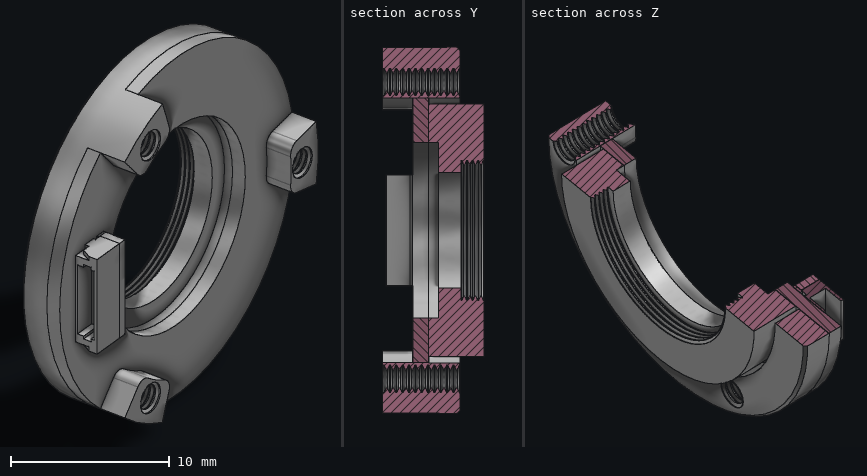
import cadquery as cq
import math

flange_front = 1.5
board_front = 3.5
board_back = 4.5
tab_end = 6.4

outer_dia = 25.0
boss_dia = 18.6
groove_dia = 19.2
groove_depth = 1.98
rim_chamfer = 0.2
bore_dia = 12.0
rear_bore_dia = 14.6
rear_bore_start = 2.88
thread_major_dia = 13.0
thread_length = 1.45
thread_pitch = 0.35

tab_count = 3
tab_angle = 21.4
tab_fillet = 0.8
hole_circle_radius = 10.8
hole_major_dia = 2.1
hole_pitch = 0.4

thread_depth_ratio = 5 / 8 * math.sqrt(3) / 2

connector_length = 7.0
connector_front = -10.8
connector_rear = -8.4
connector_top = 6.18
actuator_rear = -7.8
foot_height = 0.15
foot_rear = -8.9
terminal_front = -8.55
notch_width = 0.3
notch_floor = -9.8
notch_step_y = -10.38
notch_step_height = 0.3
notch_height = 1.05
slot_depth = 1.5
slot_bottom = 4.65
slot_top = 5.92
slot_length = 5.1
key_bottom = 5.12
key_top = 5.7
key_length = 5.5


def disc(diameter, start, end):
    """Cylinder on the X axis between two X positions."""
    return cq.Workplane("YZ").workplane(offset=start).circle(diameter / 2).extrude(end - start)


def box(x_range, y_range, z_range):
    """Axis-aligned block given by its limits."""
    size = [high - low for low, high in (x_range, y_range, z_range)]
    return cq.Workplane("XY").box(*size, centered=False).translate((x_range[0], y_range[0], z_range[0]))


def centred_span(length):
    return (-length / 2, length / 2)


def tapped_hole(major_dia, pitch, start, end):
    """Cutter on the X axis for a 60-degree thread, formed as evenly spaced rings with flat crests."""
    major = major_dia / 2
    minor = major - thread_depth_ratio * pitch
    root_flat = pitch / 8
    crest_flat = pitch / 4
    flank = (pitch - root_flat - crest_flat) / 2
    profile = cq.Workplane("XY").moveTo(start, 0).lineTo(start, major)
    for turn in range(math.floor((end - start) / pitch)):
        root_end = start + turn * pitch + root_flat
        crest_start = root_end + flank
        crest_end = crest_start + crest_flat
        profile = (
            profile.lineTo(root_end, major)
            .lineTo(crest_start, minor)
            .lineTo(crest_end, minor)
            .lineTo(crest_end + flank, major)
        )
    profile = profile.lineTo(end, major).lineTo(end, 0).close()
    return profile.revolve(360, (0, 0, 0), (1, 0, 0))


def on_each_tab(shape):
    """Copies of a shape modelled at +Y, turned to every tab position."""
    return [shape.rotate((0, 0, 0), (1, 0, 0), i * 360 / tab_count) for i in range(tab_count)]


def tab_block():
    """Tab at +Y: a ring sector with radial sides and rounded inner corners."""
    inner = groove_dia / 2
    outer = outer_dia / 2
    half = math.radians(tab_angle / 2)
    inner_y, inner_z = inner * math.cos(half), inner * math.sin(half)
    outer_y, outer_z = outer * math.cos(half), outer * math.sin(half)
    return (
        cq.Workplane("YZ")
        .workplane(offset=board_front)
        .moveTo(inner_y, -inner_z)
        .lineTo(outer_y, -outer_z)
        .threePointArc((outer, 0), (outer_y, outer_z))
        .lineTo(inner_y, inner_z)
        .threePointArc((inner, 0), (inner_y, -inner_z))
        .close()
        .extrude(tab_end - board_front)
        .edges("|X and <Y")
        .fillet(tab_fillet)
    )


def make_housing():
    flange = disc(outer_dia, flange_front, board_front).faces("<X").chamfer(rim_chamfer)
    housing = flange.union(disc(boss_dia, 0, board_front))
    groove = disc(groove_dia, flange_front, flange_front + groove_depth)
    housing = housing.cut(groove.cut(disc(boss_dia, flange_front, flange_front + groove_depth)))
    for tab in on_each_tab(tab_block()):
        housing = housing.union(tab)
    housing = housing.cut(disc(bore_dia, 0, board_front))
    housing = housing.cut(disc(rear_bore_dia, rear_bore_start, board_front))
    housing = housing.cut(tapped_hole(thread_major_dia, thread_pitch, 0, thread_length))
    hole = tapped_hole(hole_major_dia, hole_pitch, flange_front, tab_end)
    for cutter in on_each_tab(hole.translate((0, hole_circle_radius, 0))):
        housing = housing.cut(cutter)
    return housing


def make_board():
    """Circuit board ring, notched around the tabs of the housing."""
    board = disc(outer_dia, board_front, board_back).cut(disc(rear_bore_dia, board_front, board_back))
    for tab in on_each_tab(tab_block()):
        board = board.cut(tab)
    return board


def corner_notch():
    """Cutter for the stepped notch under one end of the connector front, centred on Z = 0."""
    return (
        cq.Workplane("XY")
        .workplane(offset=-notch_width / 2)
        .moveTo(board_back, connector_front)
        .lineTo(board_back, notch_floor)
        .lineTo(board_back + notch_step_height, notch_floor)
        .lineTo(board_back + notch_step_height, notch_step_y)
        .lineTo(board_back + notch_height, connector_front)
        .close()
        .extrude(notch_width)
    )


def make_connector():
    """Connector shell with a keyed cable slot, standing on a foot along its front."""
    length_span = centred_span(connector_length)
    shell = box((board_back, connector_top), (connector_front, connector_rear), length_span)
    shell = shell.cut(box((board_back, board_back + foot_height), (foot_rear, connector_rear), length_span))
    slot_span = (connector_front, connector_front + slot_depth)
    shell = shell.cut(box((slot_bottom, slot_top), slot_span, centred_span(slot_length)))
    shell = shell.cut(box((key_bottom, key_top), slot_span, centred_span(key_length)))
    notch_centre = (connector_length - notch_width) / 2
    for side in (-1, 1):
        shell = shell.cut(corner_notch().translate((0, 0, side * notch_centre)))
    return shell


def make_actuator():
    """Locking bar along the rear of the connector."""
    return box(
        (board_back + foot_height, connector_top),
        (connector_rear, actuator_rear),
        centred_span(connector_length),
    )


def make_terminal_strip():
    """Soldered strip between the board and the rear of the connector."""
    return box(
        (board_back, board_back + foot_height),
        (terminal_front, actuator_rear),
        centred_span(connector_length),
    )


housing = make_housing()
board = make_board()
connector = make_connector()
actuator = make_actuator()
terminal_strip = make_terminal_strip()

result = cq.Compound.makeCompound(
    [housing.val(), board.val(), connector.val(), actuator.val(), terminal_strip.val()]
)